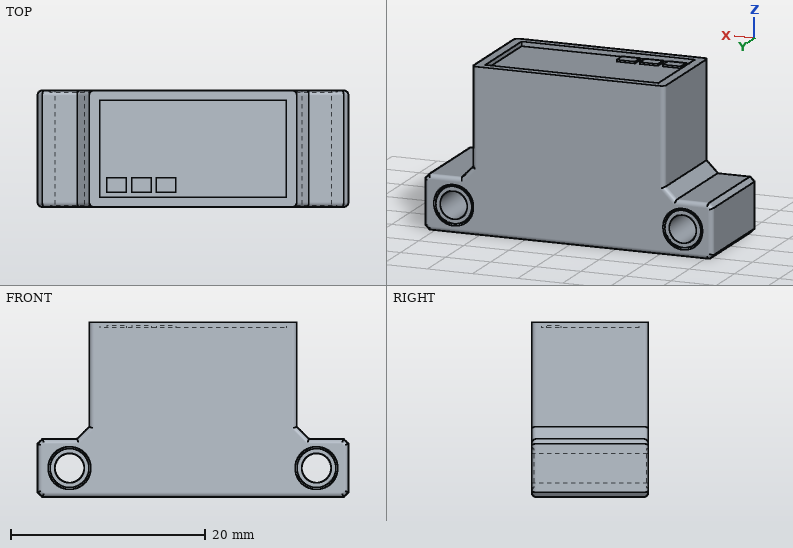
import cadquery as cq

length = 32.0
width = 12.0
height = 18.0
edge_break = 0.5

block_length = 21.35
flange_height = 6.0
gusset = 1.25

recess_length = 19.2
recess_width = 10.0
recess_depth = 0.5

pad_count = 3
pad_pitch = 2.54
pad_length = 2.0
pad_width = 1.5
pad_height = 0.2
pad_wall_gap_x = 0.75
pad_wall_gap_y = 0.5

hole_spacing = 25.4
hole_height = flange_height / 2
hole_diameter = 3.0

groove_outer_diameter = 4.4
groove_inner_diameter = 4.0
groove_depth = (groove_outer_diameter - groove_inner_diameter) / 2


def make_housing():
    """Stepped profile extruded across the width, with rounded front and back edges."""
    half_length = length / 2
    half_block = block_length / 2
    right_side = [
        (half_length - edge_break, 0),
        (half_length, edge_break),
        (half_length, flange_height - edge_break),
        (half_length - edge_break, flange_height),
        (half_block + gusset, flange_height),
        (half_block, flange_height + gusset),
        (half_block, height),
    ]
    left_side = [(-x, z) for x, z in reversed(right_side)]
    housing = (
        cq.Workplane("XZ")
        .polyline(right_side + left_side)
        .close()
        .extrude(width / 2, both=True)
    )
    top_edges = cq.selectors.BoxSelector(
        (-length, -width, height - edge_break),
        (length, width, height + edge_break),
    )
    rounded_edges = cq.selectors.InverseSelector(top_edges)
    return housing.faces("<Y or >Y").edges(rounded_edges).fillet(edge_break)


def cut_recess(body):
    """Rectangular recess sunk into the top face."""
    recess = cq.Workplane("XY", origin=(0, 0, height)).rect(recess_length, recess_width)
    return body.cut(recess.extrude(-recess_depth))


def add_pads(body):
    """Row of rectangular pads in the front left corner of the recess."""
    first_x = -recess_length / 2 + pad_wall_gap_x + pad_length / 2
    pad_y = -recess_width / 2 + pad_wall_gap_y + pad_width / 2
    centres = [(first_x + i * pad_pitch, pad_y) for i in range(pad_count)]
    floor = cq.Workplane("XY", origin=(0, 0, height - recess_depth))
    return body.union(floor.pushPoints(centres).rect(pad_length, pad_width).extrude(pad_height))


def mounting_hole_cutter(x):
    """Through hole along Y at the given X, with a ring groove around both mouths."""
    face_y = width / 2
    hole = cq.Workplane("XZ").circle(hole_diameter / 2).extrude(face_y, both=True)
    groove_section = [
        (groove_inner_diameter / 2, face_y - groove_depth),
        (groove_inner_diameter / 2, face_y),
        (groove_outer_diameter / 2, face_y),
    ]
    groove = cq.Workplane("XY").polyline(groove_section).close().revolve(360, (0, 0), (0, 1))
    cutter = hole.add(groove).add(groove.mirror("XZ")).combine()
    return cutter.translate((x, 0, hole_height))


result = add_pads(cut_recess(make_housing()))
for side in (-1, 1):
    result = result.cut(mounting_hole_cutter(side * hole_spacing / 2))